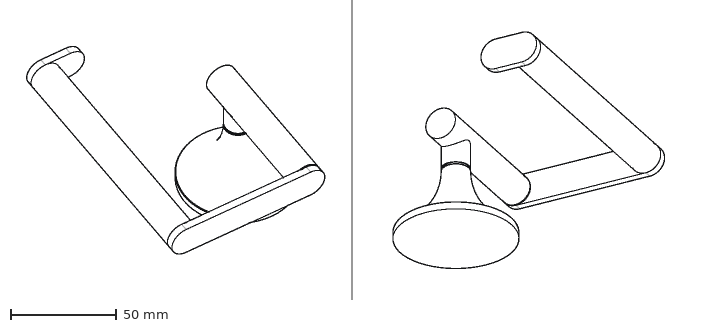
import cadquery as cq
import math

length = 130.0
half_length = length / 2
rod_diameter = 16.0
rod_radius = rod_diameter / 2
rod_height = 55.0
rod_spacing = 70.0
plate_thickness = 4.0
cap_length = 30.0
back_rod_start = -15.6

base_radius = 30.0
base_thickness = 4.0
base_edge = 0.4
post_radius = 7.0
flare_top = 36.8
post_groove_width = 1.0
post_groove_depth = 0.4
rod_groove_width = 0.6
rod_groove_depth = 0.1

front_rod_y = -rod_spacing
plate_inner_x = half_length - plate_thickness


def make_base():
    disc = cq.Workplane("XY").circle(base_radius).extrude(base_thickness)
    return disc.faces(">Z").edges().chamfer(base_edge)


def make_flare():
    """Trumpet with a concave arc profile that is vertical at its top."""
    foot_radius = base_radius - base_edge
    rise = flare_top - base_thickness
    spread = foot_radius - post_radius
    arc_radius = (spread**2 + rise**2) / (2 * spread)
    arc_center_x = post_radius + arc_radius
    half_angle = math.asin(rise / arc_radius) / 2
    arc_middle = (
        arc_center_x - arc_radius * math.cos(half_angle),
        flare_top - arc_radius * math.sin(half_angle),
    )
    return (
        cq.Workplane("XZ")
        .moveTo(0, base_thickness)
        .lineTo(foot_radius, base_thickness)
        .threePointArc(arc_middle, (post_radius, flare_top))
        .lineTo(0, flare_top)
        .close()
        .revolve(360, (0, 0, 0), (0, 1, 0))
    )


def make_rod(start_x, end_x, axis_y):
    return (
        cq.Workplane("YZ", origin=(start_x, axis_y, rod_height))
        .circle(rod_radius)
        .extrude(end_x - start_x)
    )


def make_back_rod():
    """Rod with a reduced neck where it meets the arm."""
    neck_start = plate_inner_x - rod_groove_width
    neck = (
        cq.Workplane("YZ", origin=(neck_start, 0, rod_height))
        .circle(rod_radius - rod_groove_depth)
        .extrude(rod_groove_width)
    )
    return make_rod(back_rod_start, neck_start, 0).union(neck)


def make_post(rod):
    """Post with a reduced neck at its foot and a saddle seat under the rod."""
    neck_top = flare_top + post_groove_width
    neck = (
        cq.Workplane("XY", origin=(0, 0, flare_top))
        .circle(post_radius - post_groove_depth)
        .extrude(post_groove_width)
    )
    shaft = (
        cq.Workplane("XY", origin=(0, 0, neck_top))
        .circle(post_radius)
        .extrude(rod_height - neck_top)
    )
    return neck.union(shaft).cut(rod)


def make_plate(start_x, front_axis_y, plate_length):
    """Round-ended plate, its front end concentric with the front rod."""
    center_y = front_axis_y + plate_length / 2 - rod_radius
    return (
        cq.Workplane("YZ", origin=(start_x, center_y, rod_height))
        .slot2D(plate_length, rod_diameter)
        .extrude(plate_thickness)
    )


base = make_base()
flare = make_flare()
back_rod = make_back_rod()
post = make_post(back_rod)
arm = make_plate(plate_inner_x, front_rod_y, rod_spacing + rod_diameter)
front_rod = make_rod(-plate_inner_x, plate_inner_x, front_rod_y)
end_cap = make_plate(-half_length, front_rod_y, cap_length)

result = cq.Compound.makeCompound([
    base.val(),
    flare.val(),
    post.val(),
    back_rod.val(),
    arm.val(),
    front_rod.val(),
    end_cap.val(),
])